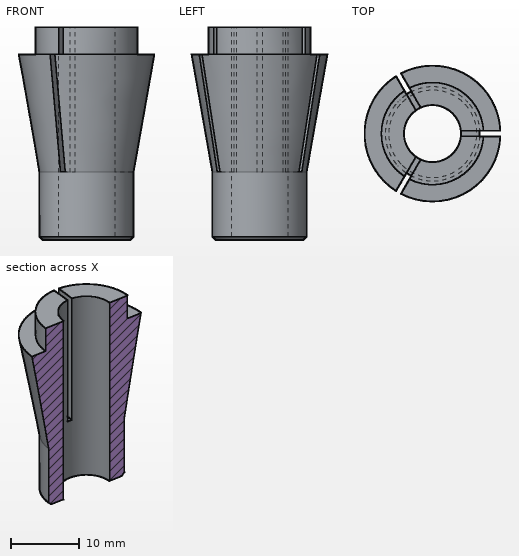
import cadquery as cq

total_height = 31.3
shank_height = 10.02
collar_height = 4.0
shoulder_z = total_height - collar_height

shank_diameter = 13.9
head_diameter = 20.0
collar_diameter = 15.02
bore_diameter = 8.35

shank_chamfer = 0.5

slot_count = 3
slot_width = 0.8


def collet_body():
    """Revolve the bored profile: chamfered shank, flaring cone and top collar."""
    bore_radius = bore_diameter / 2
    shank_radius = shank_diameter / 2
    collar_radius = collar_diameter / 2
    profile = (
        cq.Workplane("XZ")
        .moveTo(bore_radius, 0)
        .lineTo(shank_radius - shank_chamfer, 0)
        .lineTo(shank_radius, shank_chamfer)
        .lineTo(shank_radius, shank_height)
        .lineTo(head_diameter / 2, shoulder_z)
        .lineTo(collar_radius, shoulder_z)
        .lineTo(collar_radius, total_height)
        .lineTo(bore_radius, total_height)
        .close()
    )
    return profile.revolve(360, (0, 0, 0), (0, 1, 0))


def clamping_slot(angle):
    """Radial slot from the axis outward, open at the top and ending where the cone starts."""
    slot_length = head_diameter
    slot_depth = total_height - shank_height
    return (
        cq.Workplane("XY")
        .workplane(offset=shank_height)
        .center(slot_length / 2, 0)
        .rect(slot_length, slot_width)
        .extrude(slot_depth)
        .rotate((0, 0, 0), (0, 0, 1), angle)
    )


result = collet_body()
for slot_index in range(slot_count):
    result = result.cut(clamping_slot(slot_index * 360 / slot_count))